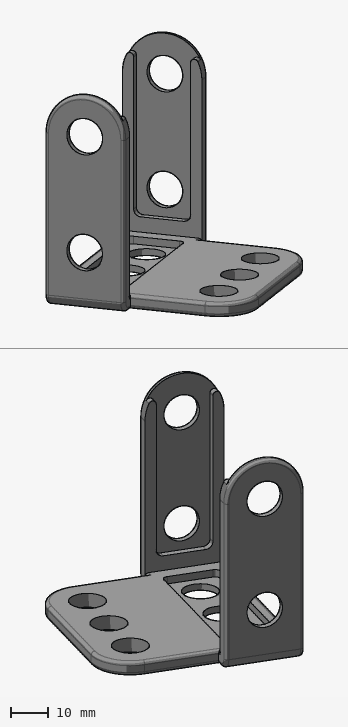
import cadquery as cq

bracket_length = 54.3
bracket_width = 63.8
bracket_height = 59.0
strap_width = 22.4
thickness = 4.0
bend_radius = 3.0
edge_radius = 1.0
plate_width = 54.2
plate_corner = 11.0

hole_diameter = 10.0
hole_span = 32.0
hole_pitch = hole_span / 2

recess_width = 16.0
recess_depth = 2.1
recess_margin = 8.25
floor_recess_corner = 1.55
wall_recess_corner = 2.0
rail_tip_radius = 1.1

half_strap = strap_width / 2
half_bracket = bracket_width / 2
inner_half = half_bracket - thickness
upper_hole_z = bracket_height - half_strap
lower_hole_z = upper_hole_z - hole_span
web_half = half_bracket - thickness + recess_depth
floor_recess_length = bracket_width - 2 * recess_margin


def make_arched_block(base_z, depth):
    """Block with the round-topped outline of the strap, centered on Y = 0."""
    return (
        cq.Workplane("XZ")
        .moveTo(-half_strap, base_z)
        .lineTo(half_strap, base_z)
        .lineTo(half_strap, upper_hole_z)
        .threePointArc((0, bracket_height), (-half_strap, upper_hole_z))
        .close()
        .extrude(depth / 2, both=True)
    )


def make_opening(base_z, length):
    """Clear space of the given Y length between the walls."""
    return (
        cq.Workplane("XY")
        .workplane(offset=base_z)
        .rect(2 * strap_width, length)
        .extrude(bracket_height)
    )


def make_shell():
    """U-shaped strap with thin walls, rounded bends and rounded outer edges."""
    body = make_arched_block(0, bracket_width).edges("|X and <Z").fillet(bend_radius)
    body = body.faces("<Y").edges("|Z").fillet(edge_radius)
    floor_top = cq.selectors.NearestToPointSelector((0, 0, thickness))
    return body.cut(make_opening(thickness, 2 * web_half)).faces(floor_top).edges("|Y").fillet(edge_radius)


def make_wall_frames():
    """Raised rails and foot on the inner faces of both walls, leaving the recesses between them."""
    recess = (
        cq.Workplane("XY")
        .workplane(offset=recess_margin)
        .rect(recess_width, bracket_width)
        .extrude(bracket_height)
        .edges("|Y and <Z")
        .fillet(wall_recess_corner)
    )
    base_z = thickness - edge_radius
    frames = make_arched_block(base_z, 2 * web_half).cut(recess)
    frames = frames.edges("|Y and >Z").fillet(rail_tip_radius)
    return frames.cut(make_opening(base_z, 2 * inner_half))


def make_plate():
    """Mounting plate beside the strap, with corners rounded around its outer holes."""
    start = half_strap - edge_radius
    end = bracket_length - half_strap
    plate = (
        cq.Workplane("XY")
        .box(end - start, plate_width, thickness, centered=(False, True, False))
        .translate((start, 0, 0))
        .edges("|Z and >X")
        .fillet(plate_corner)
    )
    rim = plate.faces("<Z or >Z").edges("not <X")
    return rim.fillet(edge_radius)


def make_floor_recess():
    """Closed recess in the strap floor."""
    return (
        cq.Workplane("XY")
        .workplane(offset=thickness - recess_depth)
        .rect(recess_width, floor_recess_length)
        .extrude(thickness)
        .edges("|Z")
        .fillet(floor_recess_corner)
    )


def make_holes():
    """Two holes through each wall and two rows of three through the floor and plate."""
    wall_holes = (
        cq.Workplane("XZ")
        .pushPoints([(0, lower_hole_z), (0, upper_hole_z)])
        .circle(hole_diameter / 2)
        .extrude(bracket_width, both=True)
    )
    base_holes = (
        cq.Workplane("XY")
        .pushPoints([(x, row * hole_pitch) for x in (0, hole_span) for row in (-1, 0, 1)])
        .circle(hole_diameter / 2)
        .extrude(thickness)
    )
    return wall_holes.union(base_holes)


strap = make_shell().union(make_wall_frames()).cut(make_floor_recess())
result = strap.union(make_plate()).cut(make_holes())